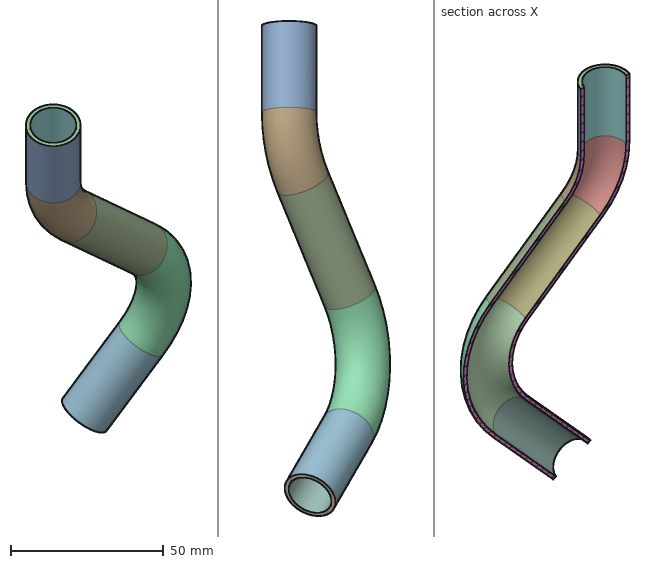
import cadquery as cq
import math

outer_diameter = 18.0
wall_thickness = 1.5
inner_diameter = outer_diameter - 2 * wall_thickness

bend_radius = 35.0
top_length = 28.8
middle_length = 43.6
middle_tilt = 38.7
bottom_tilt = -41.0
overall_height = 160.9


def travel(start, tilt, distance):
    """Point reached from start by going down at a tilt towards +Y."""
    angle = math.radians(tilt)
    return (start[0] + distance * math.sin(angle), start[1] - distance * math.cos(angle))


def bend_point(start, start_tilt, end_tilt):
    """Point on a bend where the centreline reaches end_tilt."""
    chord = 2 * bend_radius * math.sin(math.radians(abs(end_tilt - start_tilt)) / 2)
    return travel(start, (start_tilt + end_tilt) / 2, chord)


top_end = (0, overall_height)
upper_bend_start = travel(top_end, 0, top_length)
upper_bend_middle = bend_point(upper_bend_start, 0, middle_tilt / 2)
upper_bend_end = bend_point(upper_bend_start, 0, middle_tilt)
lower_bend_start = travel(upper_bend_end, middle_tilt, middle_length)
lower_bend_middle = bend_point(lower_bend_start, middle_tilt, (middle_tilt + bottom_tilt) / 2)
lower_bend_end = bend_point(lower_bend_start, middle_tilt, bottom_tilt)

bottom_angle = math.radians(abs(bottom_tilt))
rim_drop = outer_diameter / 2 * math.sin(bottom_angle)
bottom_length = (lower_bend_end[1] - rim_drop) / math.cos(bottom_angle)
bottom_end = travel(lower_bend_end, bottom_tilt, bottom_length)

centreline = (
    cq.Workplane("YZ")
    .moveTo(*top_end)
    .lineTo(*upper_bend_start)
    .threePointArc(upper_bend_middle, upper_bend_end)
    .lineTo(*lower_bend_start)
    .threePointArc(lower_bend_middle, lower_bend_end)
    .lineTo(*bottom_end)
)

result = (
    cq.Workplane("XY", origin=(0, *top_end))
    .circle(outer_diameter / 2)
    .circle(inner_diameter / 2)
    .sweep(centreline)
)